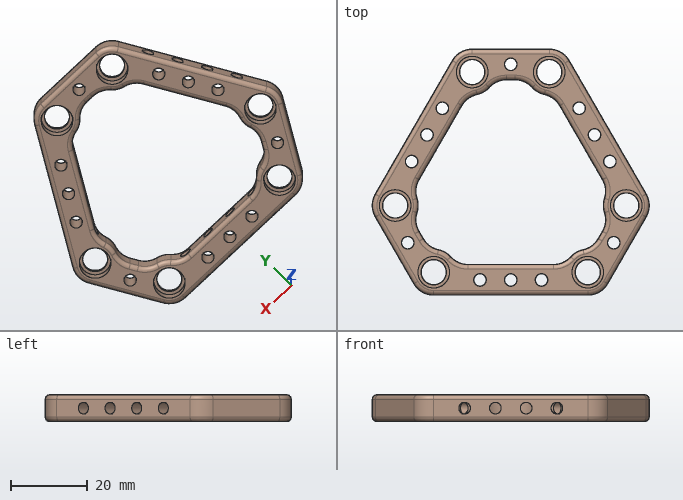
import cadquery as cq
import math

width = 72.0
thickness = 7.0
short_side = 20.0
rim_inset = 2.0
rim_fillet = 1.2
bore_diameter = 6.5
counterbore_diameter = 8.2
counterbore_depth = 3.0
screw_diameter = 3.2
hole_spacing = 8.0
cross_diameter = 3.0

long_side_screw_steps = (-1, 0, 1)
short_side_screw_steps = (0,)
cross_hole_steps = (-1.5, -0.5, 0.5, 1.5)

long_side = 2 * short_side
corner_radius = width / 2 - (long_side + short_side) / 2
boss_radius = corner_radius
blend_radius = corner_radius
wall_width = corner_radius + rim_inset
blend_offset = math.sqrt((boss_radius + blend_radius) ** 2 - (rim_inset + blend_radius) ** 2)
cross_hole_length = wall_width + boss_radius


def rotated(point, angle):
    """Point turned about the frame center by an angle in degrees."""
    turn = math.radians(angle)
    return cq.Vector(
        point.x * math.cos(turn) - point.y * math.sin(turn),
        point.x * math.sin(turn) + point.y * math.cos(turn),
    )


def xy(point):
    return point.x, point.y


def middle_of_arc(center, radius, start, end):
    return center + ((start - center) + (end - center)).normalized() * radius


def side_directions(start, end):
    """Unit vectors along a counterclockwise side and toward the inside of the frame."""
    along = (end - start).normalized()
    return along, rotated(along, 90)


def bore_centers():
    """Corners of a hexagon with alternating long and short sides, counterclockwise."""
    long_side_distance = (long_side / 2 + short_side) / math.sqrt(3)
    left = cq.Vector(-long_side / 2, -long_side_distance)
    right = cq.Vector(long_side / 2, -long_side_distance)
    return [rotated(corner, angle) for angle in (0, 120, 240) for corner in (left, right)]


centers = bore_centers()
sides = list(zip(centers, centers[1:] + centers[:1]))
long_sides = sides[0::2]
short_sides = sides[1::2]


def outer_profile():
    """Straight sides joined by arcs about the bores."""
    walls = []
    for start, end in sides:
        inward = side_directions(start, end)[1]
        walls.append((start - inward * corner_radius, end - inward * corner_radius))
    next_walls = walls[1:] + walls[:1]

    profile = cq.Workplane("XY").moveTo(*xy(walls[0][0]))
    for (_, corner), (_, wall_end), (next_start, _) in zip(sides, walls, next_walls):
        arc_middle = middle_of_arc(corner, corner_radius, wall_end, next_start)
        profile = profile.lineTo(*xy(wall_end)).threePointArc(xy(arc_middle), xy(next_start))
    return profile.close()


def blend(bore, along, inward):
    """Boss end, middle and wall end of the concave arc between a boss and a straight wall."""
    wall_end = bore + along * blend_offset + inward * rim_inset
    arc_center = wall_end + inward * blend_radius
    boss_end = bore + (arc_center - bore).normalized() * boss_radius
    return boss_end, middle_of_arc(arc_center, blend_radius, boss_end, wall_end), wall_end


def inner_profile():
    """Straight walls with a convex boss about every bore and concave blends between them."""
    blends = []
    for start, end in sides:
        along, inward = side_directions(start, end)
        blends.append((blend(start, along, inward), blend(end, along * -1, inward)))
    next_blends = blends[1:] + blends[:1]

    profile = cq.Workplane("XY").moveTo(*xy(blends[0][0][0]))
    for (_, corner), (first, last), (next_first, _) in zip(sides, blends, next_blends):
        _, first_middle, wall_start = first
        boss_start, last_middle, wall_end = last
        boss_end = next_first[0]
        boss_middle = middle_of_arc(corner, boss_radius, boss_start, boss_end)
        profile = (
            profile.threePointArc(xy(first_middle), xy(wall_start))
            .lineTo(*xy(wall_end))
            .threePointArc(xy(last_middle), xy(boss_start))
            .threePointArc(xy(boss_middle), xy(boss_end))
        )
    return profile.close()


def frame():
    """Closed ring with rounded rims inside and outside."""
    ring = outer_profile().extrude(thickness).cut(inner_profile().extrude(thickness))
    return ring.faces("<Z or >Z").edges().fillet(rim_fillet)


def vertical_cylinders(points, diameter, bottom, height):
    return cq.Workplane("XY", origin=(0, 0, bottom)).pushPoints(points).circle(diameter / 2).extrude(height)


def bores():
    """Through bores counterbored from both faces, leaving a thin lip at mid height."""
    through = vertical_cylinders(centers, bore_diameter, 0, thickness)
    lower = vertical_cylinders(centers, counterbore_diameter, 0, counterbore_depth)
    upper_floor = thickness - counterbore_depth
    upper = vertical_cylinders(centers, counterbore_diameter, upper_floor, counterbore_depth)
    return through.union(lower).union(upper)


def screw_holes():
    """Three holes on each long side and one on each short side, outside the bore line."""
    points = []
    for group, steps in ((long_sides, long_side_screw_steps), (short_sides, short_side_screw_steps)):
        for start, end in group:
            along, inward = side_directions(start, end)
            row_middle = (start + end) / 2 - inward * rim_inset
            points += [row_middle + along * (step * hole_spacing) for step in steps]
    return vertical_cylinders(points, screw_diameter, 0, thickness)


def cross_holes():
    """Horizontal holes through the long walls, midway between and beside the screw holes."""
    cutters = cq.Workplane("XY")
    mid_height = cq.Vector(0, 0, thickness / 2)
    for start, end in long_sides:
        along, inward = side_directions(start, end)
        outer_middle = (start + end) / 2 - inward * corner_radius + mid_height
        for step in cross_hole_steps:
            mouth = outer_middle + along * (step * hole_spacing)
            cutters.add(cq.Solid.makeCylinder(cross_diameter / 2, cross_hole_length, mouth, inward))
    return cutters.combine()


result = frame().cut(bores()).cut(screw_holes()).cut(cross_holes())